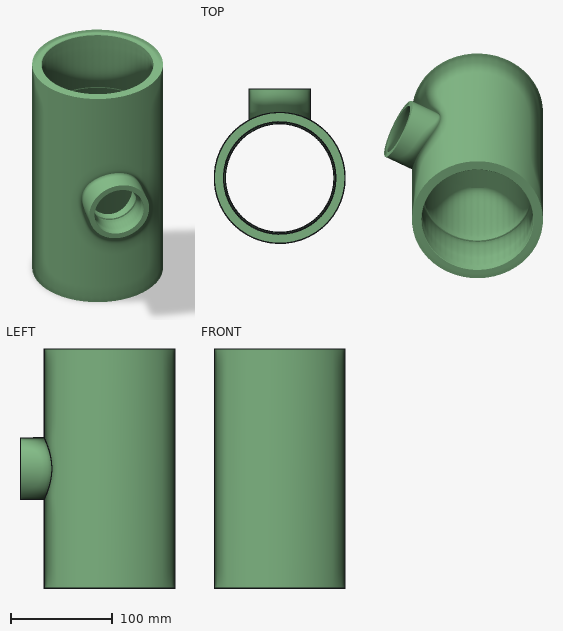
import cadquery as cq

run_length = 236.0
run_diameter = 129.0
run_socket_diameter = 110.0
run_bore_diameter = 107.0
run_socket_depth = 60.7
run_mouth_chamfer = 0.5

overall_depth = 152.5
branch_reach = overall_depth - run_diameter / 2
branch_diameter = 61.0
branch_socket_diameter = 50.0
branch_bore_diameter = 47.0
branch_socket_depth = 26.0


def run_cylinder(diameter, length):
    """Cylinder along Z, centred on the middle of the main pipe."""
    return cq.Workplane("XY").circle(diameter / 2).extrude(length / 2, both=True)


def branch_cylinder(diameter, start, end):
    """Cylinder along +Y between two distances from the main pipe axis."""
    return cq.Workplane("XZ", origin=(0, start, 0)).circle(diameter / 2).extrude(start - end)


body = run_cylinder(run_diameter, run_length)
body = body.union(branch_cylinder(branch_diameter, 0, branch_reach))

body = body.cut(run_cylinder(run_bore_diameter, run_length))
socket_bottom = run_length / 2 - run_socket_depth
socket_radius = run_socket_diameter / 2
socket_profile = [
    (0, socket_bottom),
    (socket_radius, socket_bottom),
    (socket_radius, run_length / 2 - run_mouth_chamfer),
    (socket_radius + run_mouth_chamfer, run_length / 2),
    (0, run_length / 2),
]
top_socket = cq.Workplane("XZ").polyline(socket_profile).close().revolve(360, (0, 0), (0, 1))
body = body.cut(top_socket).cut(top_socket.mirror("XY"))

body = body.cut(branch_cylinder(branch_bore_diameter, 0, branch_reach))
branch_socket_bottom = branch_reach - branch_socket_depth
body = body.cut(branch_cylinder(branch_socket_diameter, branch_socket_bottom, branch_reach))

result = body